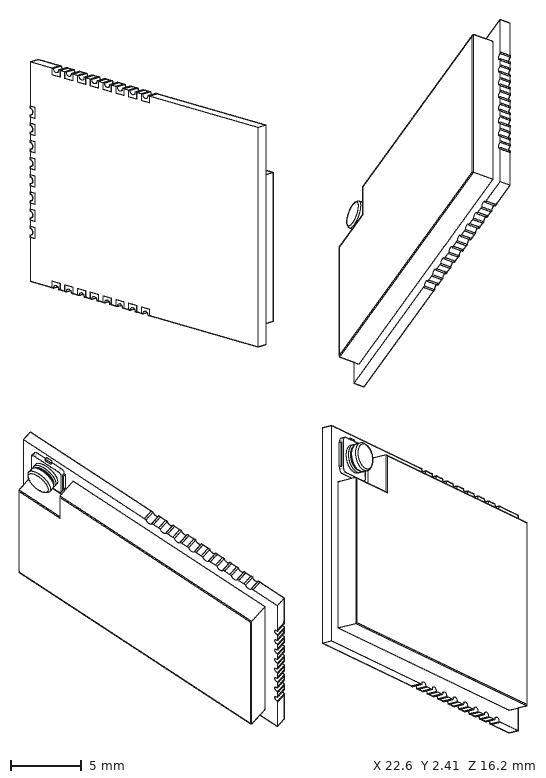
import cadquery as cq

BOARD_LENGTH = 22.6
BOARD_HEIGHT = 16.21
BOARD_THICKNESS = 0.81

SHIELD_X_MIN = 1.1
SHIELD_X_MAX = 21.82
SHIELD_Z_MIN = 1.22
SHIELD_Z_MAX = BOARD_HEIGHT - SHIELD_Z_MIN
SHIELD_RISE = 1.6
SHIELD_EDGE_CHAMFER = 0.07
NOTCH_X_MIN = 18.18
NOTCH_Z_MIN = 12.2

PAD_COUNT = 8
PAD_PITCH = 1.27
PAD_WIDTH = 0.81
PAD_DEPTH = 0.5
PLATING = 0.01
HALF_HOLE_RADIUS = 0.25
FIRST_PAD_X = 2.58
FIRST_PAD_Z = (BOARD_HEIGHT - (PAD_COUNT - 1) * PAD_PITCH) / 2

CONNECTOR_X = 20.3
CONNECTOR_Z = 14.3
BASE_SIDE = 2.65
BASE_RISE = 0.35
BASE_CORNER_RADIUS = 0.27
SIDE_TAB_SPAN = 2.85
SIDE_TAB_WIDTH = 1.8
SIDE_TAB_RISE = 0.2
FRONT_TAB_WIDTH = 0.52
FRONT_TAB_RISE = 0.15
FRONT_TAB_TIP_Z = 15.83
BARREL_RADIUS = 1.02
NECK_RADIUS = 0.9
COLLAR_TOP = 0.55
NECK_BOTTOM = 0.63
NECK_TOP = 0.7
BAND_BOTTOM = 0.81
BAND_TOP = 1.15
BARREL_TOP = 1.3


def block(x_range, y_range, z_range):
    """Box between two coordinates along each axis."""
    lows, highs = zip(x_range, y_range, z_range)
    size = [high - low for low, high in zip(lows, highs)]
    return cq.Workplane("XY").box(*size, centered=False).translate(lows)


def make_shield():
    top = BOARD_THICKNESS + SHIELD_RISE
    y_range = (BOARD_THICKNESS, top)
    can = block((SHIELD_X_MIN, SHIELD_X_MAX), y_range, (SHIELD_Z_MIN, SHIELD_Z_MAX))
    notch = block((NOTCH_X_MIN, SHIELD_X_MAX), y_range, (NOTCH_Z_MIN, SHIELD_Z_MAX))
    return can.cut(notch).faces(">Y").chamfer(SHIELD_EDGE_CHAMFER)


def pad_centers(x_edge, z_low_edge, z_high_edge):
    """(x, z) points of the pads along the given edge lines: left column, then both rows."""
    steps = [i * PAD_PITCH for i in range(PAD_COUNT)]
    left = [(x_edge, FIRST_PAD_Z + step) for step in steps]
    rows = [(FIRST_PAD_X + step, z) for z in (z_low_edge, z_high_edge) for step in steps]
    return left, rows


def make_plating(envelope):
    """Pad blocks centered on the board edges and trimmed to the outer envelope."""
    left, rows = pad_centers(0, 0, BOARD_HEIGHT)
    sketch = cq.Workplane("XZ")
    left_pads = sketch.pushPoints(left).rect(2 * PAD_DEPTH, PAD_WIDTH).extrude(-BOARD_THICKNESS)
    row_pads = sketch.pushPoints(rows).rect(PAD_WIDTH, 2 * PAD_DEPTH).extrude(-BOARD_THICKNESS)
    return left_pads.union(row_pads).intersect(envelope)


def make_module():
    """Board with its castellated pads and the shield can."""
    envelope = block((0, BOARD_LENGTH), (0, BOARD_THICKNESS), (0, BOARD_HEIGHT))
    bare_board = block(
        (PLATING, BOARD_LENGTH), (PLATING, BOARD_THICKNESS), (PLATING, BOARD_HEIGHT - PLATING)
    )
    left, rows = pad_centers(PLATING, PLATING, BOARD_HEIGHT - PLATING)
    half_holes = (
        cq.Workplane("XZ")
        .pushPoints(left + rows)
        .circle(HALF_HOLE_RADIUS)
        .extrude(-BOARD_THICKNESS)
    )
    return bare_board.union(make_plating(envelope)).cut(half_holes).union(make_shield())


def make_barrel():
    """Round contact barrel with a V-sided groove, turned about the connector's Y axis."""
    profile = [
        (0, 0),
        (BARREL_RADIUS, 0),
        (BARREL_RADIUS, COLLAR_TOP),
        (NECK_RADIUS, NECK_BOTTOM),
        (NECK_RADIUS, NECK_TOP),
        (BARREL_RADIUS, BAND_BOTTOM),
        (BARREL_RADIUS, BAND_TOP),
        (NECK_RADIUS, BARREL_TOP),
        (0, BARREL_TOP),
    ]
    return cq.Workplane("XY").polyline(profile).close().revolve(360, (0, 0, 0), (0, 1, 0))


def make_connector():
    half_base = BASE_SIDE / 2
    base = block((-half_base, half_base), (0, BASE_RISE), (-half_base, half_base))
    base = base.edges("|Y").fillet(BASE_CORNER_RADIUS)
    side_tabs = block(
        (-SIDE_TAB_SPAN / 2, SIDE_TAB_SPAN / 2),
        (0, SIDE_TAB_RISE),
        (-SIDE_TAB_WIDTH / 2, SIDE_TAB_WIDTH / 2),
    )
    front_tab = block(
        (-FRONT_TAB_WIDTH / 2, FRONT_TAB_WIDTH / 2),
        (0, FRONT_TAB_RISE),
        (0, FRONT_TAB_TIP_Z - CONNECTOR_Z),
    )
    connector = base.union(side_tabs).union(front_tab).union(make_barrel())
    return connector.translate((CONNECTOR_X, BOARD_THICKNESS, CONNECTOR_Z))


module = make_module()
connector = make_connector()

result = cq.Compound.makeCompound([module.val(), connector.val()])